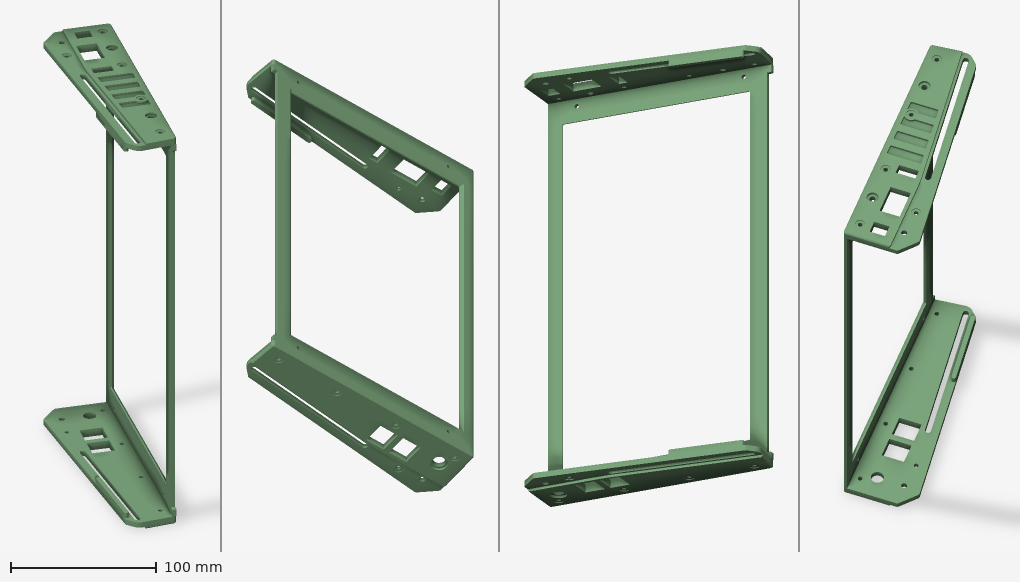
import cadquery as cq
import math

TILT = 6.0
SIN_TILT = math.sin(math.radians(TILT))
COS_TILT = math.cos(math.radians(TILT))

FRAME_HEIGHT = 290.0
FRAME_LENGTH = 168.0
FRAME_THICKNESS = 3.0
TAB_LENGTH = 3.5
TAB_HEIGHT = 5.5
TAB_RADIUS = 1.0
WINDOW_LEFT = 11.0
WINDOW_LENGTH = 144.0
WINDOW_HEIGHT = 256.5
WINDOW_BACK_CHAMFER = 2.0
WINDOW_RADIUS = 1.0
MOUNT_HOLES_U = (22.0, 150.0)
MOUNT_HOLE_INSET = 5.5

BASE_THICKNESS = 4.0
RAISED_THICKNESS = 1.8
RIM_CHAMFER = 0.8
RIGHT_X = 170.64
FRONT_Y = -52.39
LEFT_EDGE_LENGTH = 40.0
LEFT_FRONT_X = 7.2
LEFT_CORNER_RADIUS = 2.5
BACK_CORNER_RADIUS = 2.0
RIGHT_CORNER_LENGTH = 8.0
RIGHT_CORNER_WIDTH = 6.5
RIGHT_CORNER_RADIUS = 7.0
FRONT_CORNER_RADIUS = 2.0

RAISED_FRONT_Y = -40.45
RAISED_BEND_X = 56.0
RAISED_BEND_RADIUS = 100.0
RAISED_CORNER_RADIUS = 1.5

SLOT_LEFT = 59.4
SLOT_RIGHT = 166.6
SLOT_WIDTH = 4.2
SLOT_FRONT_INSET = 8.0
SLOT_Y = FRONT_Y + SLOT_FRONT_INSET
LIP_LEFT = 105.8
LIP_RIGHT = 161.0
LIP_THICKNESS = 3.4
LIP_DEPTH = 4.0

SCREW_DIAMETER = 3.2
SCREW_HEAD_DIAMETER = 7.0
LARGE_DIAMETER = 4.2
LARGE_HEAD_DIAMETER = 8.2
SCREW_HEAD_DEPTH = 0.6
LARGE_HEAD_DEPTH = 1.8
SCREW_ROW_V = 8.5
SCREW_ROW_U = (11.0, 61.0, 111.0, 161.0)
LARGE_ROW_U = (35.25, 136.75)
FRONT_SCREW = (30.5, -44.0)
FRONT_HOLE = (11.8, -40.4)

TOP_OPENINGS = ((11.8, 22.4, 8.8, 11.2), (37.2, 24.3, 21.5, 14.7), (64.1, 23.1, 6.8, 14.5))
POCKET_COUNT = 4
POCKET_FIRST_U = 77.5
POCKET_PITCH = 13.25
POCKET_WIDTH = 7.5
POCKET_BACK_V = 4.4
POCKET_FRONT_WALL = 3.2
POCKET_FRONT_Y = RAISED_FRONT_Y + POCKET_FRONT_WALL
POCKET_DEPTH = RAISED_THICKNESS
POCKET_RADIUS = 1.0
POCKET_SCREW = (SCREW_ROW_U[2], SCREW_ROW_V)
POCKET_SCREW_BOSS_DIAMETER = 10.0

KEYSTONE_OPENINGS = ((42.3, 23.5, 14.8, 16.3), (61.5, 23.7, 14.8, 16.3))
CABLE_HOLE = (16.1, 19.2)
CABLE_HOLE_DIAMETER = 9.0
CABLE_RECESS_DIAMETER = 12.0

INNER_Z = FRAME_HEIGHT / 2
STEP_Z = INNER_Z + BASE_THICKNESS
OUTER_Z = STEP_Z + RAISED_THICKNESS


def place(u, v):
    return (u * COS_TILT - v * SIN_TILT, -u * SIN_TILT - v * COS_TILT)


def tilted(solid):
    return solid.rotate((0, 0, 0), (0, 0, 1), -TILT)


def box(x0, x1, y0, y1, z0, z1):
    return cq.Workplane("XY").box(x1 - x0, y1 - y0, z1 - z0, centered=False).translate((x0, y0, z0))


def make_frame():
    frame = box(0, FRAME_LENGTH, -FRAME_THICKNESS, 0, -INNER_Z, INNER_Z)
    frame = frame.edges("|Z and <X and >Y").fillet(BACK_CORNER_RADIUS)
    tab_left = FRAME_LENGTH - TAB_HEIGHT
    tab_right = FRAME_LENGTH + TAB_LENGTH
    for z in (-INNER_Z, INNER_Z - TAB_HEIGHT):
        tab = box(tab_left, tab_right, -FRAME_THICKNESS, 0, z, z + TAB_HEIGHT)
        edge = ">X and >Z" if z < 0 else ">X and <Z"
        frame = frame.union(tab.edges(edge).fillet(TAB_RADIUS))
    window = box(
        WINDOW_LEFT, WINDOW_LEFT + WINDOW_LENGTH, -FRAME_THICKNESS, 0, -WINDOW_HEIGHT / 2, WINDOW_HEIGHT / 2
    )
    frame = frame.cut(window.edges("|Y").fillet(WINDOW_RADIUS))
    back_rim = (
        cq.Workplane("XZ").center(WINDOW_LEFT + WINDOW_LENGTH / 2, 0)
        .rect(WINDOW_LENGTH + 2 * WINDOW_BACK_CHAMFER, WINDOW_HEIGHT + 2 * WINDOW_BACK_CHAMFER)
        .extrude(WINDOW_BACK_CHAMFER, taper=45)
    )
    frame = frame.cut(back_rim)
    hole_z = INNER_Z - MOUNT_HOLE_INSET
    points = [(u, z) for u in MOUNT_HOLES_U for z in (-hole_z, hole_z)]
    holes = cq.Workplane("XZ").pushPoints(points).circle(SCREW_DIAMETER / 2).extrude(FRAME_THICKNESS)
    return tilted(frame.cut(holes))


def make_blank():
    left = place(0, LEFT_EDGE_LENGTH)
    left_front = (LEFT_FRONT_X, FRONT_Y)
    right_front = (RIGHT_X - RIGHT_CORNER_LENGTH, FRONT_Y)
    right = (RIGHT_X, FRONT_Y + RIGHT_CORNER_WIDTH)
    back_right = (RIGHT_X, -RIGHT_X * math.tan(math.radians(TILT)))
    corners = (
        ((0, 0), BACK_CORNER_RADIUS),
        (left, LEFT_CORNER_RADIUS),
        (left_front, LEFT_CORNER_RADIUS),
        (right_front, FRONT_CORNER_RADIUS),
        (right, RIGHT_CORNER_RADIUS),
        (back_right, BACK_CORNER_RADIUS),
    )
    blank = cq.Workplane("XY").workplane(offset=INNER_Z).polyline([p for p, radius in corners]).close()
    blank = blank.extrude(OUTER_Z - INNER_Z)
    mid_z = (INNER_Z + OUTER_Z) / 2
    for (x, y), radius in corners:
        blank = blank.edges(cq.selectors.NearestToPointSelector((x, y, mid_z))).fillet(radius)
    return blank.faces(">Z").edges().chamfer(RIM_CHAMFER)


def make_step():
    tangent = RAISED_BEND_RADIUS * math.tan(math.radians(TILT / 2))
    front_v = -RAISED_FRONT_Y * COS_TILT - RAISED_BEND_X * SIN_TILT
    left_front = place(0, front_v)
    bend_start = (RAISED_BEND_X - tangent * COS_TILT, RAISED_FRONT_Y + tangent * SIN_TILT)
    bend_end = (RAISED_BEND_X + tangent, RAISED_FRONT_Y)
    raised = (
        cq.Workplane("XY").workplane(offset=STEP_Z)
        .polyline([(0, 0), left_front, bend_start]).radiusArc(bend_end, -RAISED_BEND_RADIUS)
        .lineTo(RIGHT_X, RAISED_FRONT_Y).lineTo(RIGHT_X, 0).close().extrude(RAISED_THICKNESS)
    )
    corner = cq.selectors.NearestToPointSelector((*left_front, (STEP_Z + OUTER_Z) / 2))
    raised = raised.edges(corner).fillet(RAISED_CORNER_RADIUS)
    slab_left = -LEFT_EDGE_LENGTH
    slab_back = left_front[1] + 2 * RAISED_CORNER_RADIUS
    slab = box(slab_left, RIGHT_X, FRONT_Y, slab_back, STEP_Z, OUTER_Z)
    return slab.cut(raised)


def drill(points, diameter, z0=INNER_Z, z1=OUTER_Z):
    return cq.Workplane("XY").workplane(offset=z0).pushPoints(points).circle(diameter / 2).extrude(z1 - z0)


def make_slot():
    return (
        cq.Workplane("XY").workplane(offset=INNER_Z).center((SLOT_LEFT + SLOT_RIGHT) / 2, SLOT_Y)
        .slot2D(SLOT_RIGHT - SLOT_LEFT, SLOT_WIDTH).extrude(OUTER_Z - INNER_Z)
    )


def make_lip():
    middle = ((LIP_LEFT + LIP_RIGHT) / 2, FRONT_Y + LIP_THICKNESS / 2)
    lip = cq.Workplane("XY").workplane(offset=INNER_Z - LIP_DEPTH).center(*middle)
    return lip.slot2D(LIP_RIGHT - LIP_LEFT, LIP_THICKNESS).extrude(LIP_DEPTH)


def opening(u, v, length, width):
    return tilted(box(u - length / 2, u + length / 2, -v - width / 2, -v + width / 2, INNER_Z, OUTER_Z))


def make_side_plate():
    plate = make_blank().cut(make_step()).cut(make_slot()).union(make_lip())
    row = [place(u, SCREW_ROW_V) for u in SCREW_ROW_U]
    plate = plate.cut(drill(row + [FRONT_SCREW], SCREW_DIAMETER))
    plate = plate.cut(drill(row, SCREW_HEAD_DIAMETER, OUTER_Z - SCREW_HEAD_DEPTH))
    plate = plate.cut(drill([FRONT_SCREW], SCREW_HEAD_DIAMETER, STEP_Z - SCREW_HEAD_DEPTH))
    return plate.cut(drill([FRONT_HOLE], LARGE_DIAMETER))


def pocket(u):
    z0 = OUTER_Z - POCKET_DEPTH
    strip = tilted(box(u - POCKET_WIDTH / 2, u + POCKET_WIDTH / 2, FRONT_Y, -POCKET_BACK_V, z0, OUTER_Z))
    front = box(0, RIGHT_X, POCKET_FRONT_Y, 0, z0, OUTER_Z)
    boss = drill([place(*POCKET_SCREW)], POCKET_SCREW_BOSS_DIAMETER, z0)
    return strip.intersect(front).edges("|Z").fillet(POCKET_RADIUS).cut(boss)


def make_top_plate():
    plate = make_side_plate()
    row = [place(u, SCREW_ROW_V) for u in LARGE_ROW_U]
    plate = plate.cut(drill(row, LARGE_DIAMETER))
    plate = plate.cut(drill(row, LARGE_HEAD_DIAMETER, OUTER_Z - LARGE_HEAD_DEPTH))
    for size in TOP_OPENINGS:
        plate = plate.cut(opening(*size))
    for i in range(POCKET_COUNT):
        plate = plate.cut(pocket(POCKET_FIRST_U + i * POCKET_PITCH))
    return plate


def make_bottom_plate():
    cable_hole = [place(*CABLE_HOLE)]
    plate = make_side_plate().cut(drill(cable_hole, CABLE_HOLE_DIAMETER))
    plate = plate.cut(drill(cable_hole, CABLE_RECESS_DIAMETER, STEP_Z))
    for size in KEYSTONE_OPENINGS:
        plate = plate.cut(opening(*size))
    return plate.mirror("XY")


frame = make_frame()
top_plate = make_top_plate()
bottom_plate = make_bottom_plate()
result = cq.Compound.makeCompound([frame.val(), top_plate.val(), bottom_plate.val()])